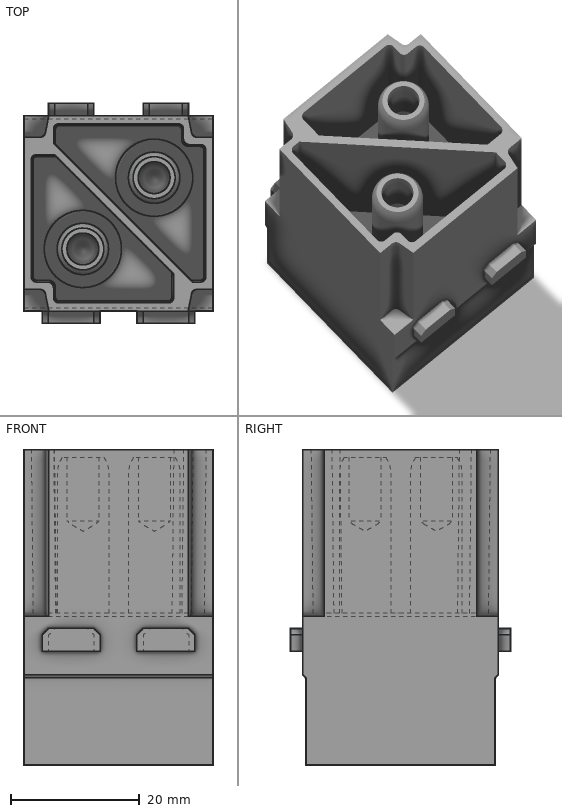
import cadquery as cq
import math

height = 49.0
width = 29.4
base_depth = 29.4
body_depth = 30.4
ledge_top = 14.0
ledge_overhang = (body_depth - base_depth) / 2
ledge_bottom = ledge_top - ledge_overhang

notch_floor = 23.15
notch_half_gap = 10.85
notch_depth = 3.4
notch_slant = 11.0
notch_radius = 0.95

tab_bottom = 17.65
tab_height = 3.6
tab_projection = 1.9
tab_chamfer = 1.0
tab_offset = 7.35
front_tab_width = 9.0
back_tab_width = 7.05

side_wall = 1.15
end_wall = 1.25
partition_thickness = 1.22
chamber_floor = notch_floor
chamber_depth = height - chamber_floor
chamber_draft = 0.3
chamber_radius = 0.9
chamber_right = width / 2 - side_wall
chamber_back = body_depth / 2 - end_wall
chamber_notch_x = 10.1
chamber_notch_y = body_depth / 2 - notch_depth - side_wall
second_tail_x = 8.58
second_tail_y = 9.1

pin_offset = 5.55
pin_radius = 8.0 / 2
pin_top = 47.78
pin_rim_radius = 6.5 / 2
pin_dome_height = math.sqrt(pin_radius**2 - pin_rim_radius**2)
flange_radius = 12.0 / 2
flange_height = 0.5
bore_radius = 4.95 / 2
bore_depth = 9.8
bore_end_radius = 4.0 / 2
bore_shoulder = bore_radius - bore_end_radius
bore_tip = bore_end_radius * math.tan(math.radians(30))


def make_body():
    """Block with a narrower base and a sloped ledge between the two."""
    half_base = base_depth / 2
    half_body = body_depth / 2
    return (
        cq.Workplane("YZ")
        .moveTo(-half_base, 0)
        .lineTo(half_base, 0)
        .lineTo(half_base, ledge_bottom)
        .lineTo(half_body, ledge_top)
        .lineTo(half_body, height)
        .lineTo(-half_body, height)
        .lineTo(-half_body, ledge_top)
        .lineTo(-half_base, ledge_bottom)
        .close()
        .extrude(width / 2, both=True)
    )


def make_corner_notch():
    """Cutter for the notch at the +X +Y corner, with a rounded inner edge."""
    back = body_depth / 2
    front = back - notch_depth
    inner_x = notch_half_gap + notch_depth * math.tan(math.radians(notch_slant))
    prism = (
        cq.Workplane("XY", origin=(0, 0, notch_floor))
        .moveTo(notch_half_gap, back)
        .lineTo(inner_x, front)
        .lineTo(width / 2, front)
        .lineTo(width / 2, back)
        .close()
        .extrude(height - notch_floor)
    )
    inner_edge = cq.selectors.NearestToPointSelector((inner_x, front, (notch_floor + height) / 2))
    return prism.edges(inner_edge).fillet(notch_radius)


def make_tab(center_x, tab_width):
    """Tab on the front face, with its two upper corners chamfered."""
    length = tab_projection + ledge_overhang
    return (
        cq.Workplane("XY")
        .box(tab_width, length, tab_height, centered=(True, False, False))
        .edges("|Y and >Z")
        .chamfer(tab_chamfer)
        .translate((center_x, -body_depth / 2 - tab_projection, tab_bottom))
    )


def make_chamber(tail_x, tail_y):
    """Chamber in the +X +Y half; its narrow ends reach to -tail_x and -tail_y."""
    outline = (
        cq.Sketch()
        .polygon([
            (-tail_x, -tail_y),
            (chamber_right, -tail_y),
            (chamber_right, chamber_notch_y),
            (chamber_notch_x, chamber_notch_y),
            (chamber_notch_x, chamber_back),
            (-tail_x, chamber_back),
            (-tail_x, -tail_y),
        ])
        .vertices()
        .fillet(chamber_radius)
    )
    draft_angle = math.degrees(math.atan2(chamber_draft, chamber_depth))
    cavity = (
        cq.Workplane("XY", origin=(0, 0, height))
        .placeSketch(outline)
        .extrude(-chamber_depth, taper=draft_angle)
    )
    half_space = (
        cq.Workplane("XY")
        .box(2 * width, width, height, centered=(True, False, False))
        .translate((0, partition_thickness / 2, 0))
        .rotate((0, 0, 0), (0, 0, 1), -45)
    )
    return cavity.intersect(half_space)


def make_pin():
    """Hollow contact pin with a spherical shoulder and a flange at its foot."""
    shoulder = pin_top - pin_dome_height
    arc_angle = math.asin(pin_dome_height / pin_radius) / 2
    arc_middle = (
        pin_radius * math.cos(arc_angle),
        shoulder + pin_radius * math.sin(arc_angle),
    )
    flange_top = chamber_floor + flange_height
    bore_end = pin_top - bore_depth
    shoulder_end = bore_end - bore_shoulder
    return (
        cq.Workplane("XZ")
        .moveTo(0, ledge_top)
        .lineTo(flange_radius, ledge_top)
        .lineTo(flange_radius, flange_top)
        .lineTo(pin_radius, flange_top)
        .lineTo(pin_radius, shoulder)
        .threePointArc(arc_middle, (pin_rim_radius, pin_top))
        .lineTo(bore_radius, pin_top)
        .lineTo(bore_radius, bore_end)
        .lineTo(bore_end_radius, shoulder_end)
        .lineTo(0, shoulder_end - bore_tip)
        .close()
        .revolve(360, (0, 0, 0), (0, 1, 0))
    )


def half_turn(shape):
    return shape.rotate((0, 0, 0), (0, 0, 1), 180)


result = make_body()

corner_notch = make_corner_notch()
for notch in (corner_notch, corner_notch.mirror("YZ")):
    result = result.cut(notch).cut(notch.mirror("XZ"))

for tab_x in (-tab_offset, tab_offset):
    result = result.union(make_tab(tab_x, front_tab_width))
    result = result.union(half_turn(make_tab(tab_x, back_tab_width)))

result = result.cut(make_chamber(chamber_notch_x, chamber_notch_y))
result = result.cut(half_turn(make_chamber(second_tail_x, second_tail_y)))

pin = make_pin()
for pin_position in (-pin_offset, pin_offset):
    result = result.union(pin.translate((pin_position, pin_position, 0)))